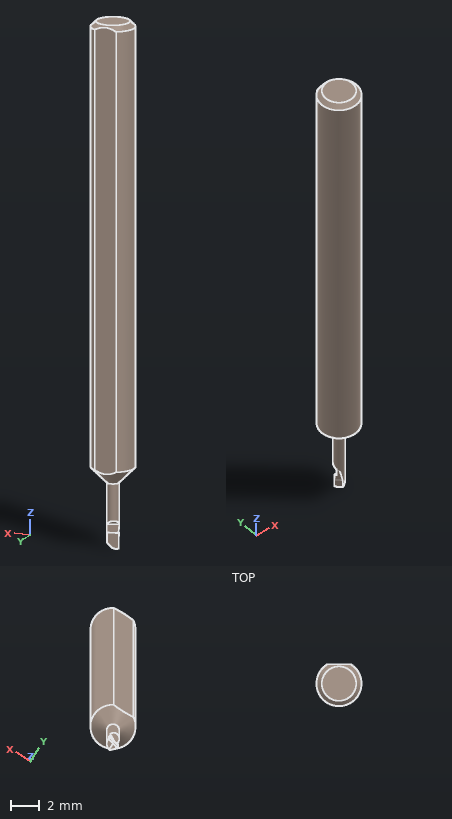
import cadquery as cq

total_length = 38.1
shank_radius = 1.58
shank_flat_y = 1.353
shank_chamfer = 0.4
neck_radius = 0.44
shank_bottom_z = 5.95
neck_top_z = shank_bottom_z - (shank_radius - neck_radius)

relief_left = (-0.4, -0.2)
relief_right = (0.4, 0.23)
relief_top_z = 1.8
relief_runout_slope = 0.8

lip_top_z = 1.2
rake_left = (-0.44, 0.0)
rake_right = (0.42, 0.1)

clearance_top_z = 0.72
clearance_runout_slope = 9.0
clearance_right = (-0.05, -0.44)

nose_x = -0.285
end_land_x = 0.05
end_land_z = 0.08
end_bevel_top_z = 0.45

margin = 2 * neck_radius


def make_blank():
    """Round shank, cone and neck, with the flat along the +Y side of the shank."""
    profile = [
        (0, 0),
        (neck_radius, 0),
        (neck_radius, neck_top_z),
        (shank_radius, shank_bottom_z),
        (shank_radius, total_length - shank_chamfer),
        (shank_radius - shank_chamfer, total_length),
        (0, total_length),
    ]
    blank = cq.Workplane("XZ").polyline(profile).close().revolve(360, (0, 0), (0, 1))
    shank_cutter = cq.Workplane("XY").box(
        2 * shank_radius, shank_radius, total_length, centered=(True, False, False)
    )
    return blank.cut(shank_cutter.translate((0, shank_flat_y, 0)))


def flat_cutter(start, end, bottom_z, top_z, runout_slope=0.0):
    """Cutter for a vertical flat through two XY points, removing the left of start to end.

    A positive runout slope carries the upper end of the cut up and outward.
    """
    along = cq.Vector(end[0] - start[0], end[1] - start[1], 0)
    outward = cq.Vector(-along.y, along.x, 0)
    plane = cq.Plane(origin=(start[0], start[1], 0), xDir=outward, normal=outward.cross(cq.Vector(0, 0, 1)))
    outline = [
        (0, bottom_z),
        (neck_radius, bottom_z),
        (neck_radius, top_z + runout_slope * neck_radius),
        (0, top_z),
    ]
    return cq.Workplane(plane).polyline(outline).close().extrude(2 * margin, both=True)


def end_cutter():
    """Material below the pointed nose and the bevel of the tip."""
    outline = [
        (-neck_radius, end_land_z),
        (nose_x, 0),
        (end_land_x, end_land_z),
        (neck_radius, end_bevel_top_z),
        (neck_radius, -margin),
        (-neck_radius, -margin),
    ]
    return cq.Workplane("XZ").polyline(outline).close().extrude(margin, both=True)


result = (
    make_blank()
    .cut(flat_cutter(relief_left, relief_right, lip_top_z, relief_top_z, relief_runout_slope))
    .cut(flat_cutter(rake_left, rake_right, 0, lip_top_z))
    .cut(flat_cutter(clearance_right, rake_left, 0, clearance_top_z, clearance_runout_slope))
    .cut(end_cutter())
)